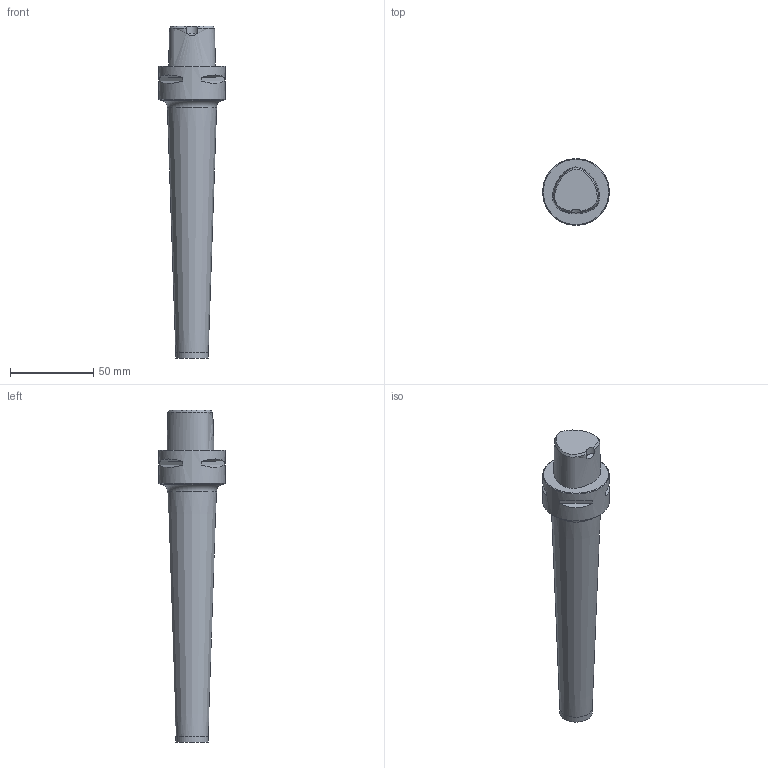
import cadquery as cq
import math

shank_length = 24.0
shank_diameter = 28.1
eccentricity = 0.95
taper_ratio = 1 / 20
chamfer_height = 1.4
chamfer_width = 0.8
polygon_points = 72

notch_radius = 4.0
notch_center_y = -14.3
notch_wall_depth = 4.4
notch_point_angle = 118.0

flange_radius = 40.0 / 2
flange_height = 20.5
flange_top_chamfer = 0.4
flange_bottom_chamfer_height = 0.5
flange_bottom_chamfer_width = 0.9

groove_count = 4
groove_first_angle = 45.0
groove_center_z = -7.9
groove_floor_distance = 17.5
groove_floor_height = 2.2
groove_side_angle = 30.0

body_bottom_z = -175.0
tip_radius = 19.5 / 2
tip_height = 3.5
neck_radius = 29.5 / 2
neck_fillet = 4.2


def polygon_wire(diameter, z):
    """Three-lobed constant-width curve, one lobe to +Y, from its center-to-tangent distance."""

    def point(turn):
        angle = 2 * math.pi * turn
        support = diameter / 2 - eccentricity * math.sin(3 * angle)
        support_slope = -3 * eccentricity * math.cos(3 * angle)
        x = support * math.cos(angle) - support_slope * math.sin(angle)
        y = support * math.sin(angle) + support_slope * math.cos(angle)
        return cq.Vector(x, y, z)

    points = [point(i / polygon_points) for i in range(polygon_points)]
    return cq.Wire.assembleEdges([cq.Edge.makeSpline(points, periodic=True)])


def make_shank():
    """Tapered polygon with a chamfered end."""
    chamfer_start = shank_length - chamfer_height
    start_diameter = shank_diameter - taper_ratio * chamfer_start
    base = polygon_wire(shank_diameter, 0)
    shoulder = polygon_wire(start_diameter, chamfer_start)
    end = polygon_wire(start_diameter - 2 * chamfer_width, shank_length)
    taper = cq.Solid.makeLoft([base, shoulder], True)
    chamfer = cq.Solid.makeLoft([shoulder, end], True)
    return cq.Workplane(taper).union(cq.Workplane(chamfer))


def make_notch():
    """Pointed drill hole parallel to Z that breaks out of the -Y side of the shank."""
    wall_bottom_z = shank_length - notch_wall_depth
    point_height = notch_radius / math.tan(math.radians(notch_point_angle / 2))
    return (
        cq.Workplane("XZ", origin=(0, notch_center_y, 0))
        .moveTo(0, shank_length)
        .lineTo(notch_radius, shank_length)
        .lineTo(notch_radius, wall_bottom_z)
        .lineTo(0, wall_bottom_z - point_height)
        .close()
        .revolve(360, (0, 0, 0), (0, 1, 0))
    )


def make_body():
    """Flange, filleted neck, tapered body and cylindrical tip as one revolution."""
    fillet_center_radius = neck_radius + neck_fillet
    fillet_center_z = -flange_height - neck_fillet
    diagonal = neck_fillet * math.sqrt(0.5)
    return (
        cq.Workplane("XZ")
        .lineTo(flange_radius - flange_top_chamfer, 0)
        .lineTo(flange_radius, -flange_top_chamfer)
        .lineTo(flange_radius, flange_bottom_chamfer_height - flange_height)
        .lineTo(flange_radius - flange_bottom_chamfer_width, -flange_height)
        .lineTo(fillet_center_radius, -flange_height)
        .threePointArc(
            (fillet_center_radius - diagonal, fillet_center_z + diagonal),
            (neck_radius, fillet_center_z),
        )
        .lineTo(tip_radius, body_bottom_z + tip_height)
        .lineTo(tip_radius, body_bottom_z)
        .lineTo(0, body_bottom_z)
        .close()
        .revolve(360, (0, 0, 0), (0, 1, 0))
    )


def make_groove(angle):
    """Straight groove of trapezoidal section across the flange, facing the given angle."""
    depth = flange_radius - groove_floor_distance
    floor_half = groove_floor_height / 2
    mouth_half = floor_half + depth * math.tan(math.radians(groove_side_angle))
    return (
        cq.Workplane("XZ")
        .moveTo(groove_floor_distance, groove_center_z - floor_half)
        .lineTo(flange_radius, groove_center_z - mouth_half)
        .lineTo(flange_radius, groove_center_z + mouth_half)
        .lineTo(groove_floor_distance, groove_center_z + floor_half)
        .close()
        .extrude(flange_radius, both=True)
        .rotate((0, 0, 0), (0, 0, 1), angle)
    )


result = make_body().union(make_shank().cut(make_notch()))
for groove_index in range(groove_count):
    groove_angle = groove_first_angle + groove_index * 360 / groove_count
    result = result.cut(make_groove(groove_angle))